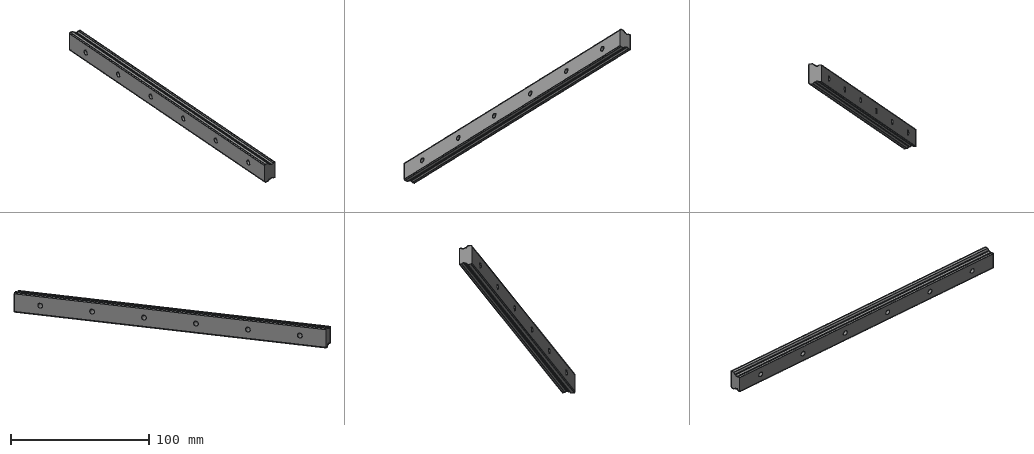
import cadquery as cq

length = 240.0
depth = 9.5
height = 15.0

front_chamfer = 0.7
flange_end = 3.0
shoulder_start = 4.3
groove_start = 5.0
groove_end = 8.0
half_height = height / 2
body_half_height = 6.2

groove_depth = 0.7
groove_bulge = 0.15

hole_count = 6
hole_diameter = 3.5
hole_pitch = length / hole_count


def groove_points():
    """Start, mid-arc, bottom, mid-arc and end of the groove in the upper edge."""
    width = groove_end - groove_start
    bottom_z = body_half_height - groove_depth
    arc_z = body_half_height - groove_depth / 2 - groove_bulge
    return [
        (groove_start, body_half_height),
        (groove_start + width / 4, arc_z),
        (groove_start + width / 2, bottom_z),
        (groove_end - width / 4, arc_z),
        (groove_end, body_half_height),
    ]


def half_rail():
    """Upper half of the rail, above Z = 0."""
    start, front_mid, bottom, back_mid, end = groove_points()
    profile = (
        cq.Workplane("YZ", origin=(-length / 2, -depth / 2, 0))
        .lineTo(0, half_height - front_chamfer)
        .lineTo(front_chamfer, half_height)
        .lineTo(flange_end, half_height)
        .lineTo(shoulder_start, body_half_height)
        .lineTo(*start)
        .threePointArc(front_mid, bottom)
        .threePointArc(back_mid, end)
        .lineTo(depth, body_half_height)
        .lineTo(depth, 0)
        .close()
    )
    return profile.extrude(length)


def mounting_holes():
    """Row of plain holes through the full depth."""
    return (
        cq.Workplane("XZ")
        .rarray(hole_pitch, 2.5, hole_count, 1)
        .circle(hole_diameter / 2)
        .extrude(depth, both=True)
    )


upper_half = half_rail()
rail = upper_half.union(upper_half.mirror("XY")).clean()
result = rail.cut(mounting_holes())